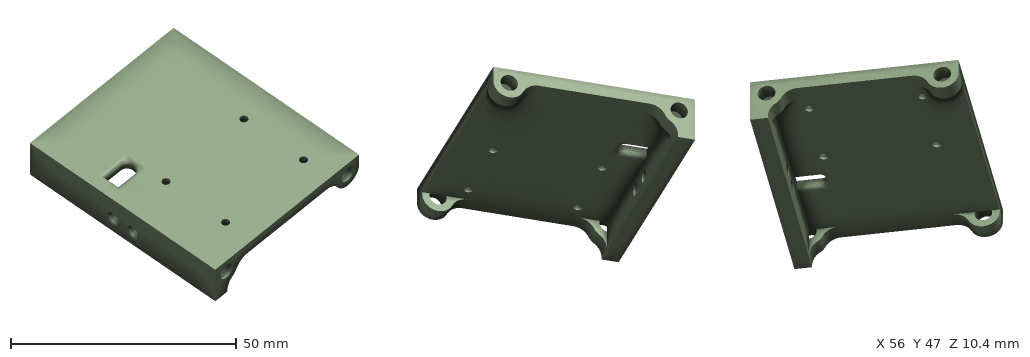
import cadquery as cq
import math

LENGTH = 56.0
DEPTH = 47.0
HEIGHT = 10.4
PLATE_THICKNESS = 3.0
WALL_THICKNESS = 4.0

FLANGE_THICKNESS = 4.0
LUG_RADIUS = 3.7
BORE_DIAMETER = 4.0
BORE_Z = -3.5
FILLET_RADIUS = 4.0
FRONT_BORE_Y = LUG_RADIUS
REAR_BORE_Y = DEPTH - LUG_RADIUS

SCREW_DIAMETER = 2.0
SCREW_CENTER = (39.0, 24.75)
SCREW_SPACING = (18.0, 25.5)

WALL_HOLE_DIAMETER = 3.0
WALL_HOLE_SPACING = 6.0
WALL_HOLE_RISE = 4.0
WALL_HOLE_Z = WALL_HOLE_RISE - HEIGHT
WALL_HOLE_CHAMFER = 0.3

WINDOW_X = 21.0
WINDOW_FRONT_Y = WALL_THICKNESS
WINDOW_LENGTH = 7.0
WINDOW_WIDTH = 4.0
WINDOW_ROUNDING = 1.0
WINDOW_FLARE_STEPS = 6
WINDOW_SHARP_RADIUS = 0.01
WINDOW_CROWN_FLAT = 0.01


def on_circle(center, radius, toward):
    """Point of a circle lying in the direction of another point."""
    dy = toward[0] - center[0]
    dz = toward[1] - center[1]
    scale = radius / math.hypot(dy, dz)
    return (center[0] + dy * scale, center[1] + dz * scale)


def arc_middle(center, radius, start, end):
    """Middle of the arc between two points of a circle."""
    chord_middle = ((start[0] + end[0]) / 2, (start[1] + end[1]) / 2)
    return on_circle(center, radius, chord_middle)


def make_body():
    """Plate with the front wall hanging below it."""
    plate = cq.Workplane("XY").box(LENGTH, DEPTH, PLATE_THICKNESS, centered=False)
    plate = plate.translate((0, 0, -PLATE_THICKNESS))
    wall = cq.Workplane("XY").box(LENGTH, WALL_THICKNESS, HEIGHT, centered=False)
    return plate.union(wall.translate((0, 0, -HEIGHT)))


def make_flange(start_x):
    """End flange: a lug round each bore, blended into the plate and the front wall."""
    front = (FRONT_BORE_Y, BORE_Z)
    rear = (REAR_BORE_Y, BORE_Z)
    reach = LUG_RADIUS + FILLET_RADIUS

    plate_blend_z = -PLATE_THICKNESS - FILLET_RADIUS
    plate_blend_offset = math.sqrt(reach**2 - (plate_blend_z - BORE_Z) ** 2)
    rear_blend = (REAR_BORE_Y - plate_blend_offset, plate_blend_z)
    front_blend = (FRONT_BORE_Y + plate_blend_offset, plate_blend_z)
    wall_blend_y = WALL_THICKNESS + FILLET_RADIUS
    wall_blend_drop = math.sqrt(reach**2 - (wall_blend_y - FRONT_BORE_Y) ** 2)
    wall_blend = (wall_blend_y, BORE_Z - wall_blend_drop)

    rear_touch = on_circle(rear, LUG_RADIUS, rear_blend)
    front_touch = on_circle(front, LUG_RADIUS, front_blend)
    wall_touch = on_circle(front, LUG_RADIUS, wall_blend)

    rear_end = (rear_blend[0], -PLATE_THICKNESS)
    front_end = (front_blend[0], -PLATE_THICKNESS)
    wall_end = (WALL_THICKNESS, wall_blend[1])

    profile = (
        cq.Workplane("YZ", origin=(start_x, 0, 0))
        .moveTo(0, 0)
        .lineTo(DEPTH, 0)
        .lineTo(DEPTH, BORE_Z)
        .threePointArc((REAR_BORE_Y, BORE_Z - LUG_RADIUS), rear_touch)
        .threePointArc(arc_middle(rear_blend, FILLET_RADIUS, rear_touch, rear_end), rear_end)
        .lineTo(*front_end)
        .threePointArc(arc_middle(front_blend, FILLET_RADIUS, front_end, front_touch), front_touch)
        .threePointArc(arc_middle(front, LUG_RADIUS, front_touch, wall_touch), wall_touch)
        .threePointArc(arc_middle(wall_blend, FILLET_RADIUS, wall_touch, wall_end), wall_end)
        .lineTo(WALL_THICKNESS, -HEIGHT)
        .lineTo(0, -HEIGHT)
        .close()
    )
    return profile.extrude(FLANGE_THICKNESS)


def make_bores(start_x):
    """Pin bores, as deep as the flange is thick."""
    return (
        cq.Workplane("YZ", origin=(start_x, 0, 0))
        .pushPoints([(FRONT_BORE_Y, BORE_Z), (REAR_BORE_Y, BORE_Z)])
        .circle(BORE_DIAMETER / 2)
        .extrude(FLANGE_THICKNESS)
    )


def make_screw_holes():
    """Four holes through the plate, at the corners of a rectangle."""
    return (
        cq.Workplane("XY")
        .center(*SCREW_CENTER)
        .rarray(*SCREW_SPACING, 2, 2)
        .circle(SCREW_DIAMETER / 2)
        .extrude(-PLATE_THICKNESS)
    )


def make_wall_hole(x):
    """Hole through the front wall with a 45 degree chamfer at the front face."""
    radius = WALL_HOLE_DIAMETER / 2
    return (
        cq.Workplane("XY", origin=(x, 0, WALL_HOLE_Z))
        .moveTo(0, 0)
        .lineTo(radius + WALL_HOLE_CHAMFER, 0)
        .lineTo(radius, WALL_HOLE_CHAMFER)
        .lineTo(radius, WALL_THICKNESS)
        .lineTo(0, WALL_THICKNESS)
        .close()
        .revolve(360, (0, 0, 0), (0, 1, 0))
    )


def window_section(growth, z):
    """Wire of the window at one level: the arch grown outwards, its rear corners sharpening."""
    width = WINDOW_WIDTH + 2 * growth
    left = WINDOW_X - width / 2
    right = WINDOW_X + width / 2
    front = WINDOW_FRONT_Y - growth
    rear = WINDOW_FRONT_Y + WINDOW_LENGTH + growth
    sharpening = growth / WINDOW_ROUNDING
    radius = max(WINDOW_WIDTH / 2 * (1 - sharpening), WINDOW_SHARP_RADIUS)
    flat = width / 2 - radius
    diagonal = radius * (1 - math.sqrt(0.5))

    outline = cq.Workplane("XY", origin=(0, 0, z)).moveTo(left, front).lineTo(right, front)
    outline = outline.lineTo(right, rear - radius)
    outline = outline.threePointArc((right - diagonal, rear - diagonal), (WINDOW_X + flat, rear))
    outline = outline.lineTo(WINDOW_X - flat, rear)
    outline = outline.threePointArc((left + diagonal, rear - diagonal), (left, rear - radius))
    return outline.close().val()


def make_flare():
    """Mouth of the window at the top face, its walls rounded over by a quarter circle."""
    sections = []
    for step in range(WINDOW_FLARE_STEPS + 1):
        angle = math.radians(90) * step / WINDOW_FLARE_STEPS
        growth = WINDOW_ROUNDING * (1 - math.cos(angle))
        z = WINDOW_ROUNDING * (math.sin(angle) - 1)
        sections.append(window_section(max(growth, WINDOW_CROWN_FLAT / 2), z))
    return cq.Workplane(cq.Solid.makeLoft(sections))


def make_window():
    """Arched slot through the plate, rounded over at both faces but straight along the wall."""
    spring_y = WINDOW_FRONT_Y + WINDOW_LENGTH - WINDOW_WIDTH / 2
    left = WINDOW_X - WINDOW_WIDTH / 2
    right = WINDOW_X + WINDOW_WIDTH / 2
    slot = (
        cq.Workplane("XY")
        .moveTo(left, WINDOW_FRONT_Y)
        .lineTo(right, WINDOW_FRONT_Y)
        .lineTo(right, spring_y)
        .threePointArc((WINDOW_X, WINDOW_FRONT_Y + WINDOW_LENGTH), (left, spring_y))
        .close()
        .extrude(-PLATE_THICKNESS)
    )
    top_flare = make_flare()
    behind_wall = (
        cq.Workplane("XY")
        .box(LENGTH, DEPTH, PLATE_THICKNESS, centered=False)
        .translate((0, WALL_THICKNESS, -PLATE_THICKNESS))
    )
    bottom_flare = top_flare.mirror("XY", (0, 0, -PLATE_THICKNESS / 2)).intersect(behind_wall)
    return slot.union(top_flare).union(bottom_flare)


result = make_body()
for flange_x in (0, LENGTH - FLANGE_THICKNESS):
    result = result.union(make_flange(flange_x)).cut(make_bores(flange_x))
result = result.cut(make_screw_holes())
for side in (-1, 1):
    result = result.cut(make_wall_hole(LENGTH / 2 + side * WALL_HOLE_SPACING / 2))
result = result.cut(make_window())